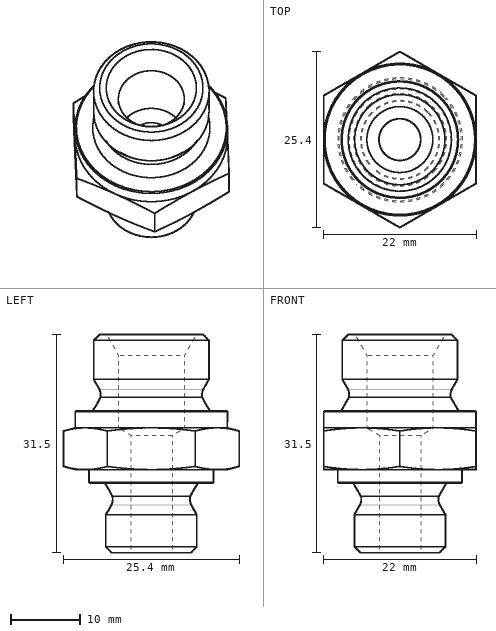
import cadquery as cq
import math

total_height = 31.5
hex_bottom = 12.0
hex_top = 18.02
lower_collar_bottom = 10.02
upper_collar_top = 20.5

across_flats = 22.0
across_corners = across_flats / math.cos(math.radians(30))
hex_bevel_angle = 15.0

upper_collar_radius = across_flats / 2
lower_collar_radius = 18.0 / 2
collar_chamfer = 0.2

upper_end_radius = 16.65 / 2
lower_end_radius = 13.17 / 2
end_chamfer = 0.88

groove_foot_extra = 0.13
foot_cone_height = 1.9
neck_arc_height = 1.15
groove_height = 4.5
groove_angle = 30.0
neck_hollow = 0.1

bore_radius = 6.0 / 2
counterbore_radius = 9.5 / 2
mouth_radius = 13.0 / 2
mouth_half_angle = 30.0
counterbore_floor_z = 18.02
drill_half_angle = 59.0


def threaded_end(end_radius, collar_face, end_face):
    """Revolved end with a rounded undercut; it may point up or down."""
    direction = math.copysign(1, end_face - collar_face)
    slope = math.tan(math.radians(groove_angle))

    def level(height):
        return collar_face + direction * height

    foot_radius = end_radius + groove_foot_extra
    neck_start = foot_cone_height
    neck_end = neck_start + neck_arc_height
    neck_start_radius = foot_radius - foot_cone_height * slope
    neck_end_radius = end_radius - (groove_height - neck_end) * slope
    neck_middle_radius = (neck_start_radius + neck_end_radius) / 2 - neck_hollow
    length = abs(end_face - collar_face)
    return (
        cq.Workplane("XZ")
        .moveTo(0, collar_face)
        .lineTo(foot_radius, collar_face)
        .lineTo(neck_start_radius, level(neck_start))
        .threePointArc(
            (neck_middle_radius, level((neck_start + neck_end) / 2)),
            (neck_end_radius, level(neck_end)),
        )
        .lineTo(end_radius, level(groove_height))
        .lineTo(end_radius, level(length - end_chamfer))
        .lineTo(end_radius - end_chamfer, end_face)
        .lineTo(0, end_face)
        .close()
        .revolve(360, (0, 0), (0, 1))
    )


def beveled_hexagon():
    """Hexagon with corners on +Y and -Y, its corners beveled by cones."""
    height = hex_top - hex_bottom
    flat_radius = across_flats / 2
    outer_radius = across_corners / 2 + 0.3
    drop = (outer_radius - flat_radius) * math.tan(math.radians(hex_bevel_angle))
    hexagon = (
        cq.Workplane("XY", origin=(0, 0, hex_bottom))
        .polygon(6, across_corners)
        .extrude(height)
        .rotate((0, 0, 0), (0, 0, 1), 30)
    )
    envelope = (
        cq.Workplane("XZ")
        .polyline([
            (0, hex_bottom),
            (flat_radius, hex_bottom),
            (outer_radius, hex_bottom + drop),
            (outer_radius, hex_top - drop),
            (flat_radius, hex_top),
            (0, hex_top),
        ])
        .close()
        .revolve(360, (0, 0), (0, 1))
    )
    return hexagon.intersect(envelope)


def collar(radius, bottom, top, chamfered_face):
    return (
        cq.Workplane("XY", origin=(0, 0, bottom))
        .circle(radius)
        .extrude(top - bottom)
        .faces(chamfered_face)
        .chamfer(collar_chamfer)
    )


def stepped_bore():
    """Through bore, counterbore with a drill-point floor, and conical mouth."""
    mouth_depth = (mouth_radius - counterbore_radius) / math.tan(math.radians(mouth_half_angle))
    floor_depth = (counterbore_radius - bore_radius) / math.tan(math.radians(drill_half_angle))
    return (
        cq.Workplane("XZ")
        .polyline([
            (0, 0),
            (bore_radius, 0),
            (bore_radius, counterbore_floor_z - floor_depth),
            (counterbore_radius, counterbore_floor_z),
            (counterbore_radius, total_height - mouth_depth),
            (mouth_radius, total_height),
            (0, total_height),
        ])
        .close()
        .revolve(360, (0, 0), (0, 1))
    )


result = (
    beveled_hexagon()
    .union(collar(upper_collar_radius, hex_top, upper_collar_top, ">Z"))
    .union(collar(lower_collar_radius, lower_collar_bottom, hex_bottom, "<Z"))
    .union(threaded_end(upper_end_radius, upper_collar_top, total_height))
    .union(threaded_end(lower_end_radius, lower_collar_bottom, 0))
    .cut(stepped_bore())
)